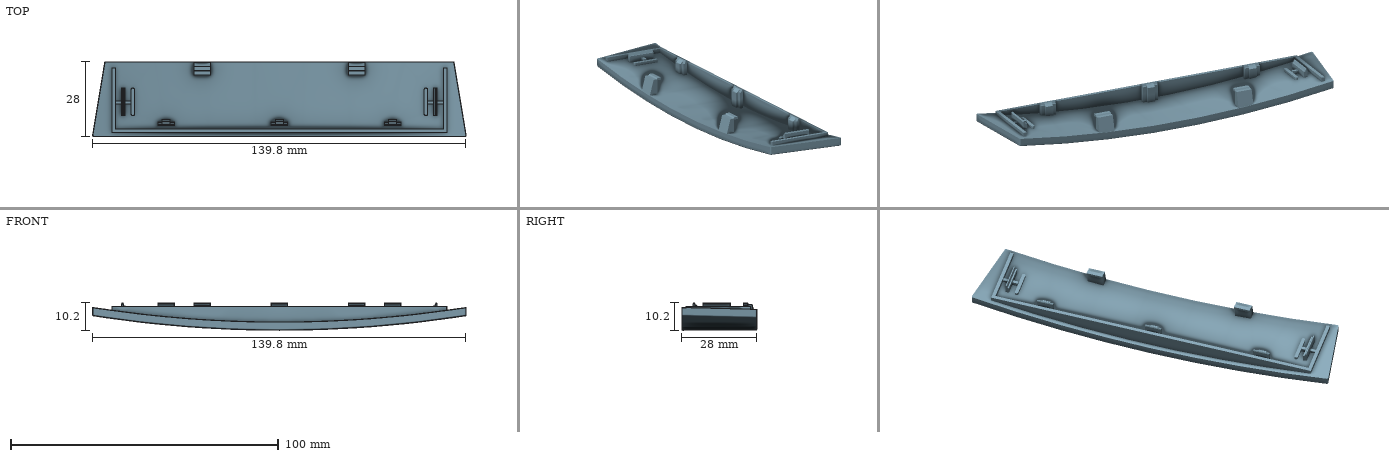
import cadquery as cq
import math

WIDTH_FRONT = 139.81
WIDTH_BACK = 130.5
DEPTH = 28.0
PLATE_THICKNESS = 3.0
OUTER_RADIUS = 450.0
INNER_RADIUS = OUTER_RADIUS - PLATE_THICKNESS
TOTAL_HEIGHT = 10.17
EDGE_ROUND = 0.4
CORNER_ROUND = 0.5

RIB_TOP = 8.9
RIB_HALF_WIDTH = 62.7
RIB_THICKNESS = 1.3
RIB_FRONT = -12.4
RIB_BACK = 11.7

CATCH_TOP_THICKNESS = 0.5
CATCH_BASE_THICKNESS = 1.4
CATCH_TAPER_FOOT = 0.9
CATCH_TAPER_HEIGHT = 1.0
CATCH_BEVEL_WIDTH = 0.2
CATCH_BEVEL_HEIGHT = 0.4

FRONT_CATCH_WIDTH = 6.2
FRONT_CATCH_SPACING = 42.4
FRONT_CATCH_FACE = -9.9
GUSSET_WIDTH = 3.0
GUSSET_REACH = 2.2
GUSSET_TOP = 10.0
GUSSET_SLOPE_END = 1.8
GUSSET_LEDGE_Z = 8.8

END_CATCH_FACE = 59.1
END_CATCH_LENGTH = 10.3
END_CATCH_Y = -1.0
LOW_BAR_X = 54.85
LOW_BAR_THICKNESS = 1.3
LOW_BAR_TOP = 7.4
TIE_WIDTH = 1.1
TIE_Y = -1.25
TIE_TOP = 8.0

HOOK_WIDTH = 6.2
HOOK_X = 28.9
HOOK_POST_FRONT = 10.6
HOOK_HEEL = DEPTH / 2
HOOK_HEEL_Z = PLATE_THICKNESS
HOOK_SHOULDER_Y = 12.2
HOOK_SHOULDER_Z = 9.7
HOOK_STEP_Y = 10.8
HOOK_LIP_BACK = 10.5
HOOK_LIP_FRONT = 9.0
HOOK_LIP_BOTTOM = 9.3

ROOT_Z = PLATE_THICKNESS / 2
ROOT_RADIUS = OUTER_RADIUS - ROOT_Z


def make_box(x_min, x_max, y_min, y_max, z_min, z_max):
    size = (x_max - x_min, y_max - y_min, z_max - z_min)
    return cq.Workplane("XY").box(*size, centered=False).translate((x_min, y_min, z_min))


def cylinder_along_y(radius):
    """Cylinder whose lowest line touches the bottom of a plate face of that radius."""
    return (
        cq.Workplane("XZ")
        .center(0, OUTER_RADIUS)
        .circle(radius)
        .extrude(DEPTH, both=True)
    )


def footprint(height):
    """Plan outline of the plate, extruded upwards from the bottom."""
    taper = math.atan2((WIDTH_FRONT - WIDTH_BACK) / 2, DEPTH)
    rounding_loss = CORNER_ROUND * (math.tan(math.pi / 4 + taper / 2) - 1)
    front = WIDTH_FRONT / 2 + rounding_loss
    back = WIDTH_BACK / 2 + rounding_loss
    corners = [(-front, -DEPTH / 2), (front, -DEPTH / 2), (back, DEPTH / 2), (-back, DEPTH / 2)]
    outline = cq.Workplane("XY").polyline(corners).close().extrude(height)
    return outline.edges("|Z").fillet(CORNER_ROUND)


def make_plate():
    plate = footprint(TOTAL_HEIGHT).intersect(cylinder_along_y(OUTER_RADIUS))
    plate = plate.cut(cylinder_along_y(INNER_RADIUS))
    return plate.faces("<Z").edges().fillet(EDGE_ROUND)


def make_rib():
    outer = make_box(-RIB_HALF_WIDTH, RIB_HALF_WIDTH, RIB_FRONT, RIB_BACK, ROOT_Z, RIB_TOP)
    inner_half = RIB_HALF_WIDTH - RIB_THICKNESS
    inner = make_box(-inner_half, inner_half, RIB_FRONT + RIB_THICKNESS, RIB_BACK, ROOT_Z, RIB_TOP)
    return outer.cut(inner)


def make_catch(length):
    """Catch centred on X = 0 with its outer face on Y = 0 and its inner face towards +Y."""
    profile = [
        (0, ROOT_Z),
        (0, TOTAL_HEIGHT - CATCH_BEVEL_HEIGHT),
        (CATCH_BEVEL_WIDTH, TOTAL_HEIGHT),
        (CATCH_TOP_THICKNESS, TOTAL_HEIGHT),
        (CATCH_TAPER_FOOT, TOTAL_HEIGHT - CATCH_TAPER_HEIGHT),
        (CATCH_BASE_THICKNESS, TOTAL_HEIGHT - CATCH_TAPER_HEIGHT),
        (CATCH_BASE_THICKNESS, ROOT_Z),
    ]
    return cq.Workplane("YZ").polyline(profile).close().extrude(length / 2, both=True)


def make_front_catch(x):
    middle = CATCH_TOP_THICKNESS / 2
    profile = [
        (middle, ROOT_Z),
        (middle, GUSSET_TOP),
        (CATCH_TOP_THICKNESS, GUSSET_TOP),
        (GUSSET_SLOPE_END, GUSSET_LEDGE_Z),
        (GUSSET_REACH, GUSSET_LEDGE_Z),
        (GUSSET_REACH, ROOT_Z),
    ]
    gusset = cq.Workplane("YZ").polyline(profile).close().extrude(GUSSET_WIDTH / 2, both=True)
    catch = make_catch(FRONT_CATCH_WIDTH).union(gusset)
    return catch.translate((x, FRONT_CATCH_FACE, 0))


def make_end_group():
    """Catch, low bar and tie at the -X end."""
    catch = (
        make_catch(END_CATCH_LENGTH)
        .rotate((0, 0, 0), (0, 0, 1), -90)
        .translate((-END_CATCH_FACE, END_CATCH_Y, 0))
    )
    low_bar = (
        cq.Workplane("XY", origin=(-LOW_BAR_X, END_CATCH_Y, ROOT_Z))
        .slot2D(END_CATCH_LENGTH, LOW_BAR_THICKNESS, 90)
        .extrude(LOW_BAR_TOP - ROOT_Z)
    )
    tie_half = TIE_WIDTH / 2
    rib_middle = RIB_HALF_WIDTH - RIB_THICKNESS / 2
    bar_side = LOW_BAR_X + LOW_BAR_THICKNESS / 2
    tie = make_box(-rib_middle, -bar_side, TIE_Y - tie_half, TIE_Y + tie_half, ROOT_Z, TIE_TOP)
    return catch.union(low_bar).union(tie)


def make_hook(x):
    profile = [
        (HOOK_POST_FRONT, ROOT_Z),
        (HOOK_POST_FRONT, HOOK_LIP_BOTTOM),
        (HOOK_LIP_FRONT, HOOK_LIP_BOTTOM),
        (HOOK_LIP_FRONT, TOTAL_HEIGHT),
        (HOOK_LIP_BACK, TOTAL_HEIGHT),
        (HOOK_STEP_Y, HOOK_SHOULDER_Z),
        (HOOK_SHOULDER_Y, HOOK_SHOULDER_Z),
        (HOOK_HEEL, HOOK_HEEL_Z),
        (HOOK_HEEL, ROOT_Z),
    ]
    hook = cq.Workplane("YZ").polyline(profile).close().extrude(HOOK_WIDTH / 2, both=True)
    return hook.translate((x, 0, 0))


def make_fittings():
    """Everything that stands on the plate, ending inside the plate's thickness."""
    fittings = make_rib()
    for x in (-FRONT_CATCH_SPACING, 0, FRONT_CATCH_SPACING):
        fittings = fittings.union(make_front_catch(x))
    for x in (-HOOK_X, HOOK_X):
        fittings = fittings.union(make_hook(x))
    end_group = make_end_group()
    fittings = fittings.union(end_group).union(end_group.mirror("YZ"))
    return fittings.intersect(cylinder_along_y(ROOT_RADIUS))


result = make_plate().union(make_fittings())